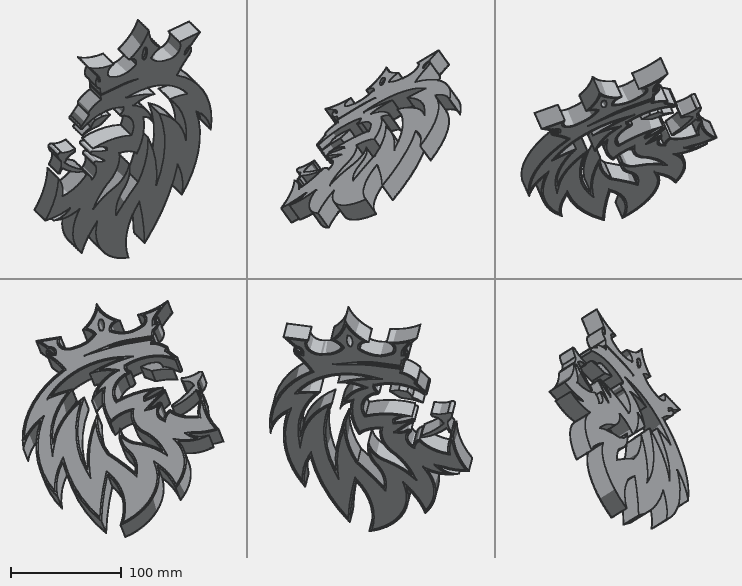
import cadquery as cq
import math

TOTAL_DEPTH = 17.35
INLAY_DEPTH = 15.0
WALL = 1.75
SHARP_TURN = math.radians(30)

CROWN_SLOT_CENTER = (-17.9, 108.5)
CROWN_SLOT_LENGTH = 14.0
CROWN_SLOT_WIDTH = 5.2
CROWN_SLOT_TILT = 5.0


MANE_BACK = [
    (0.0, -133.8, -7.7),
    (-12.0, -71.1, -1.1),
    (-17.7, -125.3, 5.1),
    (-54.0, -47.5, -2.8),
    (-58.7, -87.3, 10.6),
    (-74.8, 6.5, -3.1),
    (-90.6, -23.9, 13.2),
]
CROWN_BACK = [
    (-53.3, 62.9, -0.7),
    (-66.0, 80.0, 0.9),
    (-69.2, 87.6, 1.0),
    (-66.3, 88.5, 0.0),
    (-63.1, 84.1, 0.0),
    (-61.8, 83.9, -2.3),
    (-68.3, 91.5, 0.0),
    (-78.7, 102.7, 0.0),
]
CROWN_TOP = [
    (-55.8, 102.7, 0.0),
    (-56.9, 100.3, -5.8),
    (-42.7, 87.8, -2.5),
    (-24.9, 98.9, -1.4),
    (-35.2, 106.6, -2.9),
    (-22.3, 134.7, -3.1),
    (-0.5, 110.1, -2.9),
    (-8.5, 100.4, -2.1),
    (10.6, 95.6, -0.4),
    (20.2, 100.1, -4.5),
    (16.1, 113.5, -2.2),
]
CROWN_FRONT = [
    (44.1, 124.0, -0.3),
    (33.7, 108.6, -0.7),
    (31.3, 100.2, 0.0),
    (32.5, 100.4, -0.2),
    (34.0, 107.8, 3.5),
    (31.3, 91.1, 0.0),
]
CROWN_BAND = [
    (30.6, 83.7, 0.0),
    (5.8, 83.8, -0.6),
    (-10.3, 81.1, 0.3),
    (5.8, 82.6, 0.0),
    (30.8, 82.6, 0.0),
    (30.2, 77.2, 1.0),
]
BROW = [
    (42.3, 70.6, 1.2),
    (43.5, 65.5, 0.1),
    (51.8, 55.9, 1.6),
    (51.3, 51.9, -6.9),
    (5.3, 54.7, -1.4),
    (9.6, 47.5, 1.0),
    (4.6, 43.7, -5.7),
]
MUZZLE = [
    (-3.1, 15.5, 3.3),
    (39.4, 21.7, -1.4),
    (25.2, 15.4, -0.8),
    (23.5, 11.3, -0.7),
    (39.1, 18.5, 1.8),
    (41.1, 15.5, -0.4),
    (26.4, -0.2, -0.9),
    (34.8, 3.6, 1.8),
    (38.3, 1.7, -3.9),
]
CHIN = [
    (40.4, -16.0, 1.2),
    (46.4, -6.5, -3.1),
    (72.6, -19.4, 2.0),
    (77.3, 5.1, -3.4),
    (91.7, -39.5, 0.6),
    (73.5, -40.3, -0.3),
    (64.1, -38.7, -2.6),
    (82.6, -44.2, 3.0),
]
MANE_FRONT = [
    (53.8, -45.1, 8.6),
    (51.6, -100.7, -1.8),
    (34.5, -70.8, 14.0),
]
HEAD_OUTLINE = (
    MANE_BACK + CROWN_BACK + CROWN_TOP + CROWN_FRONT + CROWN_BAND + BROW + MUZZLE + CHIN + MANE_FRONT
)

OPENING_BACK = [
    (13.8, -74.3, -0.5),
    (-10.6, -46.0, 3.3),
    (-21.4, 3.2, -3.6),
    (-30.6, -60.5, 7.6),
    (-33.9, 25.9, -5.8),
    (-63.2, -22.8, 6.3),
    (-45.0, 37.7, -0.6),
    (-64.7, 34.1, 11.5),
]
OPENING_TOP = [
    (2.5, 64.7, -1.4),
    (-28.7, 52.8, 1.9),
    (-5.3, 51.0, -4.5),
    (-26.6, 19.8, 1.7),
]
OPENING_FRONT = [
    (-16.4, 30.7, -3.4),
    (-9.2, -10.3, 2.2),
    (10.2, 0.4, -4.7),
    (23.8, -30.5, 1.4),
    (39.0, -53.2, -1.3),
    (16.9, -39.3, 4.1),
    (-0.5, -18.2, -3.7),
    (7.0, -48.4, 2.5),
]
MANE_OPENING = OPENING_BACK + OPENING_TOP + OPENING_FRONT

EYE_OUTLINE = [
    (49.5, 41.2, 0.0),
    (40.0, 43.5, 0.0),
    (29.0, 43.8, 0.0),
    (18.8, 50.6, 0.2),
    (27.2, 53.4, 0.0),
    (35.0, 52.9, 0.8),
    (39.6, 46.2, 0.9),
]
NOSE_OUTLINE = [
    (50.1, -3.2, 1.5),
    (48.8, -0.9, -1.2),
    (68.5, 17.8, -2.0),
    (58.5, 25.1, 0.9),
    (57.2, 29.2, -1.2),
    (72.1, 32.2, 1.2),
    (76.5, 31.8, 0.9),
    (72.5, 21.8, -1.4),
    (75.8, 8.8, 1.4),
    (73.4, 8.9, -0.3),
    (70.8, 12.0, 1.5),
]


def face_plane():
    """Sketch plane on the face, seen from -X; a negative extrusion runs toward +X."""
    return cq.Plane(origin=(-TOTAL_DEPTH / 2, 0, 0), xDir=(0, -1, 0), normal=(-1, 0, 0))


def edge_headings(start, end):
    """Directions of travel, as angles, at the start and at the end of an outline edge."""
    run = end[0] - start[0]
    rise = end[1] - start[1]
    chord_heading = math.atan2(rise, run)
    half_sweep = 2 * math.atan2(2 * start[2], math.hypot(run, rise))
    return chord_heading + half_sweep, chord_heading - half_sweep


def outline_sketch(points):
    """Close an outline of arcs and straight edges on the face plane."""
    sketch = cq.Workplane(face_plane()).moveTo(*points[0][:2])
    for start, end in zip(points, points[1:] + points[:1]):
        run = end[0] - start[0]
        rise = end[1] - start[1]
        share = start[2] / math.hypot(run, rise)
        if share == 0:
            sketch = sketch.lineTo(*end[:2])
        else:
            middle = ((start[0] + end[0]) / 2 - share * rise, (start[1] + end[1]) / 2 + share * run)
            sketch = sketch.threePointArc(middle, end[:2])
    return sketch.close()


def solid_from(points, depth):
    return outline_sketch(points).extrude(-depth)


def crown_slot():
    return (
        cq.Workplane(face_plane())
        .center(*CROWN_SLOT_CENTER)
        .transformed(rotate=(0, 0, CROWN_SLOT_TILT))
        .ellipse(CROWN_SLOT_WIDTH / 2, CROWN_SLOT_LENGTH / 2)
        .extrude(-TOTAL_DEPTH)
    )


def wall_corners(points, offset):
    """Sharp outer corners of the wall, where an outline offset to its left leaves a gap to mitre."""
    corners = []
    for before, corner, after in zip(points[-1:] + points[:-1], points, points[1:] + points[:1]):
        heading_in = edge_headings(before, corner)[1]
        heading_out = edge_headings(corner, after)[0]
        turn = math.remainder(heading_out - heading_in, 2 * math.pi)
        if turn * offset > 0 or abs(turn) < SHARP_TURN:
            continue
        middle = heading_in + turn / 2
        reach = offset / math.cos(turn / 2)
        x, y = corner[:2]
        tips = [(heading_in, offset), (middle, reach), (heading_out, offset)]
        kite = [(x - length * math.sin(angle), y + length * math.cos(angle)) for angle, length in tips]
        sketch = cq.Workplane(face_plane()).polyline([(x, y)] + kite).close()
        corners.append(sketch.extrude(-INLAY_DEPTH))
    return corners


def make_inlay():
    """Fill the tray inside its wall, as the one large piece without slivers in the narrow tips."""
    inlay = outline_sketch(HEAD_OUTLINE).offset2D(-WALL).extrude(-INLAY_DEPTH)
    inlay = inlay.cut(outline_sketch(MANE_OPENING).offset2D(WALL).extrude(-INLAY_DEPTH))
    for corner in wall_corners(HEAD_OUTLINE, -WALL) + wall_corners(MANE_OPENING, WALL):
        inlay = inlay.cut(corner)
    pieces = inlay.cut(crown_slot()).solids().vals()
    return cq.Workplane(max(pieces, key=lambda piece: piece.Volume()))


def make_tray(inlay):
    head = solid_from(HEAD_OUTLINE, TOTAL_DEPTH)
    opening = solid_from(MANE_OPENING, TOTAL_DEPTH)
    return head.cut(opening).cut(crown_slot()).cut(inlay)


inlay = make_inlay()
tray = make_tray(inlay)
eye = solid_from(EYE_OUTLINE, INLAY_DEPTH)
nose = solid_from(NOSE_OUTLINE, INLAY_DEPTH)

result = cq.Compound.makeCompound([tray.val(), inlay.val(), eye.val(), nose.val()])